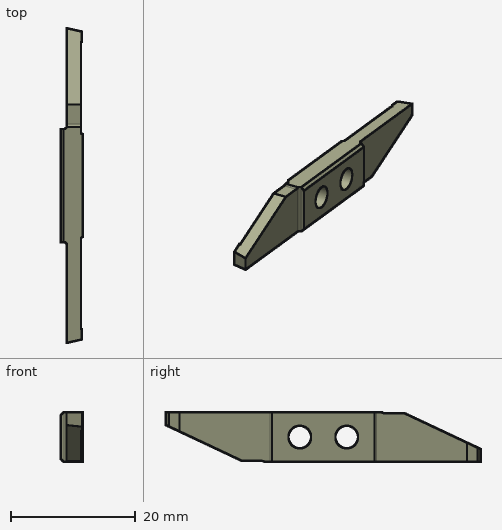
import cadquery as cq
import math

length = 50.5
width = 3.6
height = 8.0
half_length = length / 2
half_width = width / 2
half_height = height / 2

front_shoulder_y = 9.1
back_shoulder_y = 8.25
body_chamfer = 0.5
front_fillet = 0.4
back_fillet = 0.3

blade_front_x = -half_width + 0.95
blade_back_x = half_width - 0.3
edge_relief = 0.15
edge_relief_start = 9.4
edge_relief_radius = 0.75
slope_start_y = 13.05
tip_height = 2.05

tip_back_x = half_width - 0.15
tip_pad_y = 23.05
tip_rake = 0.55

hole_diameter = 3.6
hole_spacing = 7.5


def half_plan():
    """Plan section of the +Y half, extruded over the full height."""
    return (
        cq.Workplane("XY", origin=(0, 0, -half_height))
        .moveTo(-half_width, 0)
        .lineTo(-half_width, front_shoulder_y)
        .lineTo(blade_front_x - front_fillet, front_shoulder_y)
        .radiusArc((blade_front_x, front_shoulder_y + front_fillet), -front_fillet)
        .lineTo(blade_front_x, half_length)
        .lineTo(tip_back_x, half_length - tip_rake)
        .lineTo(tip_back_x, tip_pad_y)
        .lineTo(blade_back_x, tip_pad_y)
        .lineTo(blade_back_x, back_shoulder_y + back_fillet)
        .radiusArc((blade_back_x + back_fillet, back_shoulder_y), -back_fillet)
        .lineTo(half_width, 0)
        .close()
        .extrude(height)
    )


def half_side():
    """Side outline of the +Y half: relieved, sloping top edge and flat bottom."""
    relief_run = math.sqrt(edge_relief * (2 * edge_relief_radius - edge_relief))
    blade_top = half_height - edge_relief
    return (
        cq.Workplane("YZ", origin=(-half_width, 0, 0))
        .moveTo(0, -half_height)
        .lineTo(half_length, -half_height)
        .lineTo(half_length, -half_height + tip_height)
        .lineTo(slope_start_y, blade_top)
        .lineTo(edge_relief_start + relief_run, blade_top)
        .radiusArc((edge_relief_start, half_height), edge_relief_radius)
        .lineTo(0, half_height)
        .close()
        .extrude(width)
    )


half = half_plan().intersect(half_side())
other_half = half.rotate((0, 0, 0), (1, 0, 0), 180)
insert = half.union(other_half).clean()

insert = insert.faces("<X").edges("|Y").chamfer(body_chamfer)

holes = (
    cq.Workplane("YZ", origin=(-half_width, 0, 0))
    .pushPoints([(-hole_spacing / 2, 0), (hole_spacing / 2, 0)])
    .circle(hole_diameter / 2)
    .extrude(width)
)
result = insert.cut(holes)